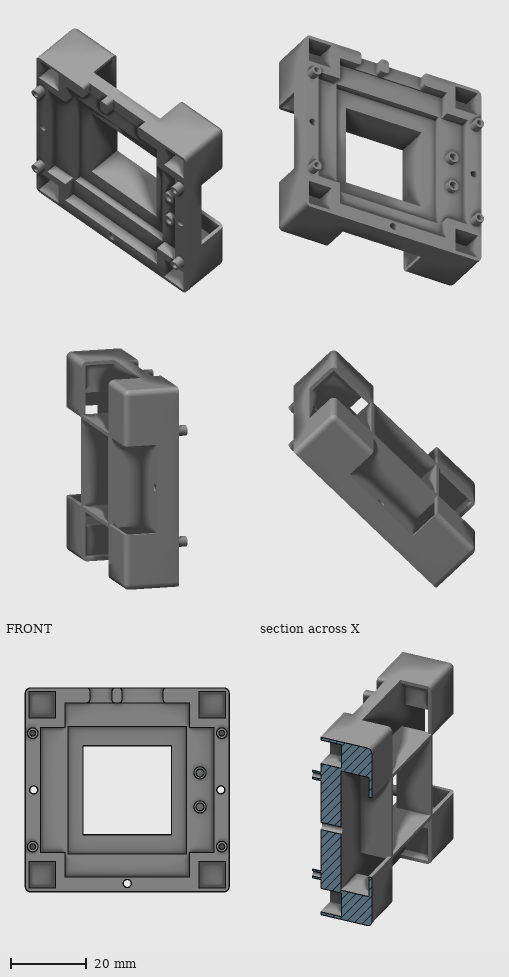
import cadquery as cq

side = 54.0
body_depth = 15.0
edge_radius = 1.5
wall = 1.0
half_side = side / 2

frame_depth = 6.0

recess_long = 46.0
recess_short = 33.0
recess_depth = 3.0
step_width = 31.4
step_height = 33.7
step_center_z = -0.1
step_depth = 5.0

window_width = 23.4
window_height = 23.5
window_center_z = -0.1

inner_size = side - 2 * wall
upright_channel_width = 30.0
level_channel_height = 36.0
side_opening = 24.0

pocket_size = 7.0
pocket_depth = 6.0
pocket_center = half_side - wall - pocket_size / 2

pin_diameter = 2.8
pin_bore = 1.5
pin_length = 2.5
pin_x = 25.0
pin_z = 15.0

boss_diameter = 3.2
boss_bore = 2.08
boss_height = 1.6
boss_x = 19.25
boss_z = 4.5

screw_hole_diameter = 2.08
screw_hole_offset = 24.75

notch_spans = [(-9.9, -4.0), (-1.4, 9.5)]
notch_depth = 2.5
notch_edge_radius = 0.85
rail_bottom = recess_long / 2


def block(width, height, y_front, y_back, x=0.0, z=0.0):
    """Box centred on (x, z) that spans y_front to y_back."""
    depth = y_back - y_front
    return cq.Workplane("XY").box(width, depth, height).translate((x, y_front + depth / 2, z))


def rod(diameter, y_front, y_back, x, z):
    """Cylinder along Y, centred on (x, z)."""
    circle = cq.Workplane("XZ", origin=(x, y_front, z)).circle(diameter / 2)
    return circle.extrude(y_front - y_back)


def rounded_block():
    body = block(side, side, 0, body_depth)
    return body.edges("|Y").fillet(edge_radius).faces(">Y").edges().fillet(edge_radius)


def hollow_back(body):
    y_floor = frame_depth
    y_ceiling = body_depth - wall
    body = body.cut(block(upright_channel_width, inner_size, y_floor, y_ceiling))
    body = body.cut(block(inner_size, level_channel_height, y_floor, y_ceiling))
    body = body.cut(block(side_opening, side, y_floor, body_depth))
    return body.cut(block(side, side_opening, y_floor, body_depth))


def add_window(body):
    tunnel = block(window_width + 2 * wall, window_height + 2 * wall, step_depth, body_depth, z=window_center_z)
    window = block(window_width, window_height, 0, body_depth, z=window_center_z)
    return body.union(tunnel).cut(window)


def cut_recess(body):
    body = body.cut(block(recess_long, recess_short, 0, recess_depth))
    body = body.cut(block(recess_short, recess_long, 0, recess_depth))
    return body.cut(block(step_width, step_height, 0, step_depth, z=step_center_z))


def cut_corner_pockets(body):
    for x in (-pocket_center, pocket_center):
        for z in (-pocket_center, pocket_center):
            body = body.cut(block(pocket_size, pocket_size, 0, pocket_depth, x, z))
    return body


def cut_screw_holes(body):
    offset = screw_hole_offset
    for x, z in [(-offset, 0), (offset, 0), (0, -offset)]:
        body = body.cut(rod(screw_hole_diameter, 0, frame_depth, x, z))
    return body


def cut_notches(body):
    """Cut the top rail so that the lands left standing have rounded corners."""
    rail_height = half_side - rail_bottom
    rail_middle = (half_side + rail_bottom) / 2
    (first_left, first_right), (second_left, second_right) = notch_spans
    land_spans = [(-half_side, first_left), (first_right, second_left), (second_right, half_side)]
    cutter = block(second_right - first_left + 2 * notch_edge_radius, rail_height, 0, notch_depth,
                   (first_left + second_right) / 2, rail_middle)
    for left, right in land_spans:
        land = block(right - left, rail_height, 0, notch_depth, (left + right) / 2, rail_middle)
        cutter = cutter.cut(land.edges("|Y").fillet(notch_edge_radius))
    return body.cut(cutter)


def add_pins(body):
    for x in (-pin_x, pin_x):
        for z in (-pin_z, pin_z):
            body = body.union(rod(pin_diameter, -pin_length, 0, x, z))
            body = body.cut(rod(pin_bore, -pin_length, 0, x, z))
    return body


def add_bosses(body):
    for z in (-boss_z, boss_z):
        body = body.union(rod(boss_diameter, recess_depth - boss_height, recess_depth, boss_x, z))
        body = body.cut(rod(boss_bore, recess_depth - boss_height, recess_depth, boss_x, z))
    return body


result = hollow_back(rounded_block())
result = cut_recess(result)
result = add_window(result)
result = cut_corner_pockets(result)
result = cut_screw_holes(result)
result = cut_notches(result)
result = add_pins(result)
result = add_bosses(result)